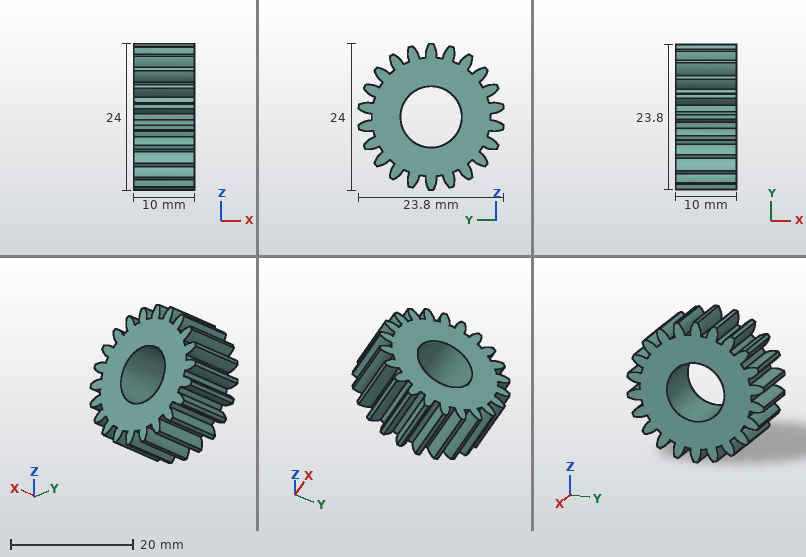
import cadquery as cq
import math

teeth = 22
tip_diameter = 24.0
face_width = 10.0
bore_diameter = 10.0
pressure_angle = math.radians(20)
dedendum_factor = 1.25
flank_samples = 7

module = tip_diameter / (teeth + 2)
pitch_radius = module * teeth / 2
tip_radius = tip_diameter / 2
root_radius = pitch_radius - dedendum_factor * module
base_radius = pitch_radius * math.cos(pressure_angle)
tooth_pitch = 2 * math.pi / teeth


def involute(angle):
    return math.tan(angle) - angle


base_half_angle = tooth_pitch / 4 + involute(pressure_angle)
base_half_width = base_radius * math.sin(base_half_angle)
root_half_angle = math.asin(base_half_width / root_radius)


def polar(radius, angle):
    """Point at an angle measured from +Z towards +Y."""
    return (radius * math.sin(angle), radius * math.cos(angle))


def flank_point(radius, center_angle, side):
    """Point on the involute flank of a tooth; side is -1 or +1."""
    unwind = math.acos(min(1.0, base_radius / radius))
    return polar(radius, center_angle + side * (base_half_angle - involute(unwind)))


def add_tooth(profile, center_angle):
    """Extend the profile over one tooth and the root arc that follows it."""
    radial_step = (tip_radius - base_radius) / (flank_samples - 1)
    radii = [base_radius + i * radial_step for i in range(flank_samples)]
    rising = [flank_point(r, center_angle, -1) for r in radii]
    falling = [flank_point(r, center_angle, 1) for r in reversed(radii)]
    next_root_angle = center_angle + tooth_pitch - root_half_angle

    profile = profile.lineTo(*rising[0])
    profile = profile.spline(rising[1:], includeCurrent=True)
    profile = profile.threePointArc(polar(tip_radius, center_angle), falling[0])
    profile = profile.spline(falling[1:], includeCurrent=True)
    profile = profile.lineTo(*polar(root_radius, center_angle + root_half_angle))
    return profile.threePointArc(
        polar(root_radius, center_angle + tooth_pitch / 2),
        polar(root_radius, next_root_angle),
    )


outline = cq.Workplane("YZ").moveTo(*polar(root_radius, -root_half_angle))
for index in range(teeth):
    outline = add_tooth(outline, index * tooth_pitch)
gear = outline.close().extrude(face_width)

bore = cq.Workplane("YZ").circle(bore_diameter / 2).extrude(face_width)
result = gear.cut(bore)